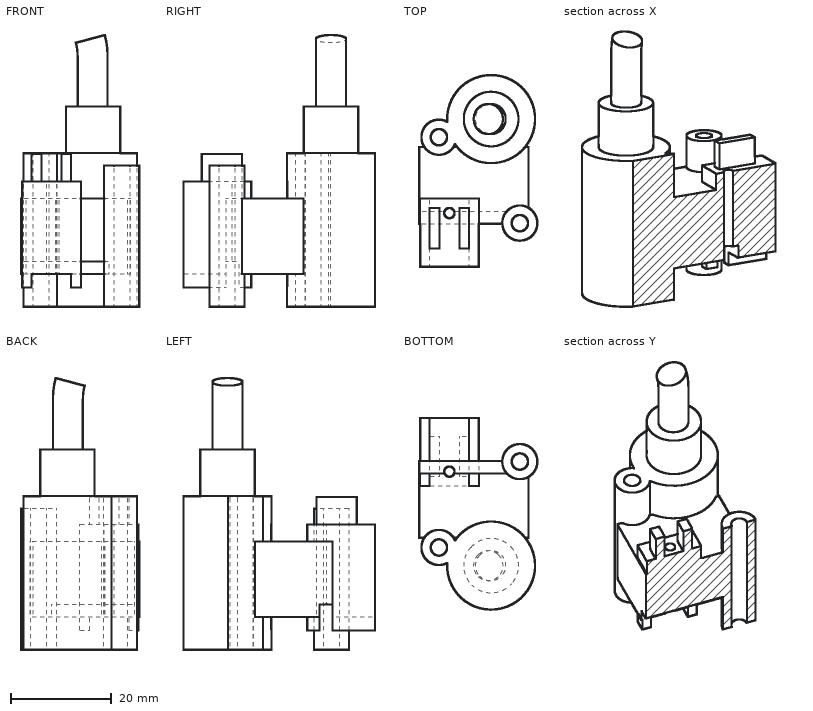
import cadquery as cq
import math


part_depth = 38.05
part_height = 53.93

body_diameter = 17.5
body_height = 30.5
collar_diameter = 10.85
collar_top = 39.75
shaft_diameter = 6.0
shaft_center_x = -0.1
bend_start = 49.7
tip_angle = 15.0
bend_radius = (part_height - bend_start) / math.sin(math.radians(tip_angle)) - shaft_diameter / 2

post_diameter = 7.0
post_bore_diameter = 3.2
side_post_center = (-10.35, -3.6)
front_post_center = (5.7, -20.65)
front_post_height = 28.0

housing_left = -14.3
housing_right = 7.45
housing_back = -5.5
housing_front = -20.8
housing_bottom = 6.5
housing_top = 21.5

connector_left = -14.1
connector_width = 11.65
connector_right = connector_left + connector_width
connector_front = body_diameter / 2 - part_depth
connector_depth = 13.5
connector_back = connector_front + connector_depth
connector_top = 24.9
leg_width = 1.9
leg_bottom = 3.8
pin_hole_diameter = 2.0
pin_hole_center = (connector_left + connector_width / 2, -18.65)
blade_width = 1.95
blade_back = -17.65
blade_length = 8.0
blade_top = 30.35

slot_width = 2.5
slot_top = 9.0


def block(x_min, x_max, y_min, y_max, z_min, z_max):
    """Axis-aligned box between two limits on each axis."""
    size = (x_max - x_min, y_max - y_min, z_max - z_min)
    return cq.Workplane("XY").box(*size, centered=False).translate((x_min, y_min, z_min))


def upright_cylinder(center, diameter, z_min, z_max):
    """Vertical cylinder between two heights."""
    profile = cq.Workplane("XY").workplane(offset=z_min).center(*center).circle(diameter / 2)
    return profile.extrude(z_max - z_min)


def make_body():
    """Main cylinder with its collar."""
    body = upright_cylinder((0, 0), body_diameter, 0, body_height)
    return body.union(upright_cylinder((0, 0), collar_diameter, body_height, collar_top))


def make_shaft():
    """Straight shaft whose tip bends toward -X."""
    center = (shaft_center_x, 0)
    straight = upright_cylinder(center, shaft_diameter, collar_top, bend_start)
    tip = (
        cq.Workplane("XY", origin=(shaft_center_x, 0, bend_start))
        .circle(shaft_diameter / 2)
        .revolve(tip_angle, (-bend_radius, 1), (-bend_radius, 0))
    )
    return straight.union(tip)


def make_housing():
    """Rectangular switch housing."""
    return block(
        housing_left, housing_right, housing_front, housing_back, housing_bottom, housing_top
    )


def make_connector():
    """Connector block, relieved underneath so that a leg remains along each side."""
    connector = block(
        connector_left, connector_right, connector_front, connector_back, leg_bottom, connector_top
    )
    leg_gap = block(
        connector_left + leg_width,
        connector_right - leg_width,
        connector_front,
        connector_back,
        leg_bottom,
        housing_bottom,
    )
    connector = connector.cut(leg_gap)
    for blade_left in (connector_left + leg_width, connector_right - leg_width - blade_width):
        blade = block(
            blade_left,
            blade_left + blade_width,
            blade_back - blade_length,
            blade_back,
            connector_top,
            blade_top,
        )
        connector = connector.union(blade)
    return connector


def make_cross_slot():
    """Cutter for the slot that runs across the connector and the housing."""
    return block(
        housing_left, housing_right, housing_front, housing_front + slot_width, 0, slot_top
    )


posts = ((side_post_center, body_height), (front_post_center, front_post_height))

result = make_housing().union(make_connector()).cut(make_cross_slot())
result = result.union(make_body()).union(make_shaft())
for post_center, post_height in posts:
    result = result.union(upright_cylinder(post_center, post_diameter, 0, post_height))
for post_center, post_height in posts:
    result = result.cut(upright_cylinder(post_center, post_bore_diameter, 0, post_height))
result = result.cut(upright_cylinder(pin_hole_center, pin_hole_diameter, 0, connector_top))